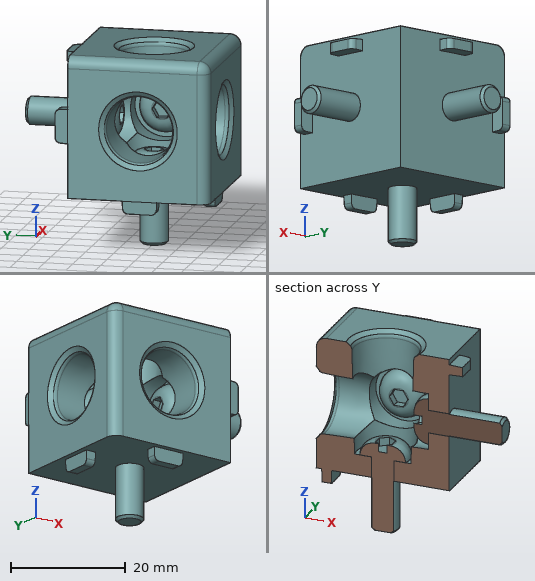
import cadquery as cq
import math

cube_size = 25.2
half_cube = cube_size / 2
edge_radius = 2.0

overall_size = 35.2
shank_reach = overall_size - cube_size
shank_radius = 2.5
tip_chamfer = 0.5
head_radius = 4.58
head_height = 2.75
crown_radius = 1.83
socket_across_flats = 3.05
socket_depth = 1.5

floor_thickness = 4.0
floor_radius = 5.45
throat_radius = 5.95
throat_depth = 1.35
lip_radius = 6.2
lip_depth = 0.67
mouth_radius = 7.05

tab_length = 6.2
tab_thickness = 2.0
tab_height = 2.5
tab_inset = 2.0
tab_draft = 2.5
tab_corner_radius = 1.0

floor_x = half_cube - floor_thickness

diagonal = (-1, -1, 1)
turns = (0, 120, 240)
socket_angles = (0, 30, 30)


def turn(shape, angle):
    """Turn a shape made for the +X screw axis onto another screw axis."""
    return shape.rotate((0, 0, 0), diagonal, angle)


def make_bore():
    """Screw bore along X: countersunk mouth, rounded lip and a slightly tapered wall."""
    mouth_x = -half_cube
    return (
        cq.Workplane("XY")
        .moveTo(floor_x, 0)
        .lineTo(floor_x, floor_radius)
        .lineTo(mouth_x + throat_depth, throat_radius)
        .tangentArcPoint((mouth_x + lip_depth, lip_radius), relative=False)
        .lineTo(mouth_x, mouth_radius)
        .lineTo(mouth_x, 0)
        .close()
        .revolve(360, (0, 0, 0), (1, 0, 0))
    )


def make_shank_hole():
    """Hole through the bore floor that the screw shank fills."""
    return cq.Workplane("YZ", origin=(floor_x, 0, 0)).circle(shank_radius).extrude(floor_thickness)


def make_tab(y, z, length_y, length_z, rounded_edges):
    """Drafted tab on the +X face with its two outer end edges rounded."""
    return (
        cq.Workplane("YZ", origin=(half_cube, y, z))
        .rect(length_y, length_z)
        .extrude(tab_height, taper=tab_draft)
        .faces(">X")
        .edges(rounded_edges)
        .fillet(tab_corner_radius)
    )


def make_housing():
    """Cube with three rounded edges, three crossing screw bores and six tabs."""
    housing = (
        cq.Workplane("XY")
        .box(cube_size, cube_size, cube_size)
        .edges("(<X and <Y) or (<X and >Z) or (<Y and >Z)")
        .fillet(edge_radius)
    )
    bore = make_bore().union(make_shank_hole())
    tab_offset = half_cube - tab_inset
    upright_tab = make_tab(-tab_offset, 0, tab_thickness, tab_length, "|Y")
    level_tab = make_tab(0, tab_offset, tab_length, tab_thickness, "|Z")
    for angle in turns:
        housing = housing.cut(turn(bore, angle))
        housing = housing.union(turn(upright_tab, angle))
        housing = housing.union(turn(level_tab, angle))
    return housing


def make_screw(socket_angle):
    """Button head screw along X, seated on the bore floor."""
    top_x = floor_x - head_height
    tip_x = half_cube + shank_reach
    dome_centre = (head_radius**2 - crown_radius**2 - head_height**2) / (2 * (head_radius - crown_radius))
    dome_radius = head_radius - dome_centre
    half_sweep = math.asin(head_height / dome_radius) / 2
    dome_middle = (
        floor_x - dome_radius * math.sin(half_sweep),
        dome_centre + dome_radius * math.cos(half_sweep),
    )
    screw = (
        cq.Workplane("XY")
        .moveTo(top_x, 0)
        .lineTo(top_x, crown_radius)
        .threePointArc(dome_middle, (floor_x, head_radius))
        .lineTo(floor_x, shank_radius)
        .lineTo(tip_x - tip_chamfer, shank_radius)
        .lineTo(tip_x, shank_radius - tip_chamfer)
        .lineTo(tip_x, 0)
        .close()
        .revolve(360, (0, 0, 0), (1, 0, 0))
    )
    socket_across_corners = socket_across_flats / math.cos(math.radians(30))
    socket = (
        cq.Workplane("YZ", origin=(top_x, 0, 0))
        .polygon(6, socket_across_corners)
        .extrude(socket_depth)
        .rotate((0, 0, 0), (1, 0, 0), socket_angle)
    )
    return screw.cut(socket)


housing = make_housing()
screws = [turn(make_screw(socket_angle), angle) for angle, socket_angle in zip(turns, socket_angles)]

result = cq.Compound.makeCompound([housing.solids().val(), *[screw.solids().val() for screw in screws]])